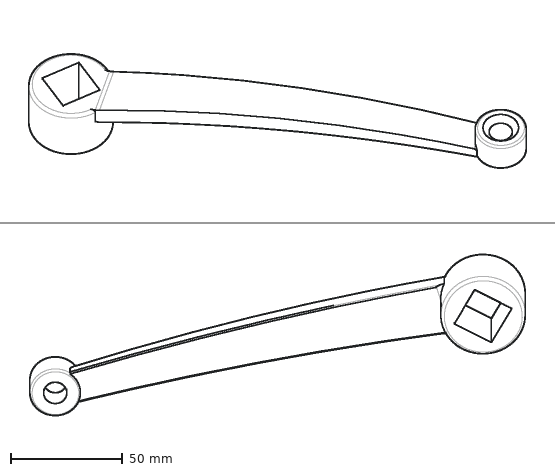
import cadquery as cq

HUB_DIAMETER = 38.0
HUB_HEIGHT = 27.0
HUB_EDGE_RADIUS = 1.5
SOCKET_SIDE = 19.0
SOCKET_TURN = 45.0

EYE_DISTANCE = 200.09
EYE_DIAMETER = 23.0
EYE_HEIGHT = 15.0
EYE_TOP = 57.0
EYE_EDGE_RADIUS = 1.0
EYE_HOLE_DIAMETER = 10.4
COUNTERSINK_DIAMETER = 16.0
COUNTERSINK_ANGLE = 90.0

ARM_ROOT_X = 12.0
ARM_BEND_X = 15.5
ARM_MIDDLE_X = 105.0
ARM_TIP_X = 191.0
ARM_TOP_MIDDLE = 44.9
ARM_TOP_TIP = 47.9
ARM_HEEL_X = 18.5
ARM_BOTTOM_ROOT = 19.2
ARM_BOTTOM_MIDDLE = 36.6
ARM_BOTTOM_TIP = 42.4
ARM_ROOT_WIDTH = 24.4
ARM_TIP_WIDTH = 15.2
ARM_LOWER_EDGE_RADIUS = 0.7
ARM_TIP_EDGE_RADIUS = 1.6
ARM_BEND_RADIUS = 7.0

EYE_BOTTOM = EYE_TOP - EYE_HEIGHT


def round_boss(diameter, height, edge_radius):
    """Upright cylinder on Z = 0 with both rims rounded."""
    return cq.Workplane("XY").circle(diameter / 2).extrude(height).edges("%CIRCLE").fillet(edge_radius)


def arm_side_profile():
    """Bowed profile, level where it meets the hub, extruded to the full root width."""
    return (
        cq.Workplane("XZ")
        .moveTo(ARM_ROOT_X, ARM_BOTTOM_ROOT)
        .lineTo(ARM_ROOT_X, HUB_HEIGHT)
        .lineTo(ARM_BEND_X, HUB_HEIGHT)
        .threePointArc((ARM_MIDDLE_X, ARM_TOP_MIDDLE), (ARM_TIP_X, ARM_TOP_TIP))
        .lineTo(ARM_TIP_X, ARM_BOTTOM_TIP)
        .threePointArc((ARM_MIDDLE_X, ARM_BOTTOM_MIDDLE), (ARM_HEEL_X, ARM_BOTTOM_ROOT))
        .close()
        .extrude(ARM_ROOT_WIDTH / 2, both=True)
    )


def arm_taper():
    """Tapering plan outline of the arm, as tall as the whole part."""
    root_half = ARM_ROOT_WIDTH / 2
    tip_half = ARM_TIP_WIDTH / 2
    outline = [
        (ARM_ROOT_X, -root_half),
        (ARM_TIP_X, -tip_half),
        (ARM_TIP_X, tip_half),
        (ARM_ROOT_X, root_half),
    ]
    return cq.Workplane("XY").polyline(outline).close().extrude(EYE_TOP)


def make_arm():
    """Arm with a blended bend, a rounded tip and rounded lower edges."""
    arm = arm_side_profile().intersect(arm_taper())
    bend_edge = cq.selectors.NearestToPointSelector((ARM_BEND_X, 0, HUB_HEIGHT))
    arm = arm.edges(bend_edge).fillet(ARM_BEND_RADIUS)
    tip_edge = cq.selectors.NearestToPointSelector((ARM_TIP_X, 0, ARM_TOP_TIP))
    arm = arm.edges(tip_edge).fillet(ARM_TIP_EDGE_RADIUS)
    middle_half = (ARM_ROOT_WIDTH + ARM_TIP_WIDTH) / 4
    for side in (-1, 1):
        lower_edge = cq.selectors.NearestToPointSelector(
            (ARM_MIDDLE_X, side * middle_half, ARM_BOTTOM_MIDDLE)
        )
        arm = arm.edges(lower_edge).fillet(ARM_LOWER_EDGE_RADIUS)
    return arm


def socket_cutter():
    """Square socket through the hub, one corner pointing along the arm."""
    square = cq.Workplane("XY").rect(SOCKET_SIDE, SOCKET_SIDE).extrude(HUB_HEIGHT)
    return square.rotate((0, 0, 0), (0, 0, 1), SOCKET_TURN)


hub = round_boss(HUB_DIAMETER, HUB_HEIGHT, HUB_EDGE_RADIUS)
eye = round_boss(EYE_DIAMETER, EYE_HEIGHT, EYE_EDGE_RADIUS).translate((EYE_DISTANCE, 0, EYE_BOTTOM))
body = hub.union(make_arm()).union(eye).cut(socket_cutter())
result = (
    body.faces(">Z")
    .workplane(origin=(EYE_DISTANCE, 0, EYE_TOP))
    .cskHole(EYE_HOLE_DIAMETER, COUNTERSINK_DIAMETER, COUNTERSINK_ANGLE)
)